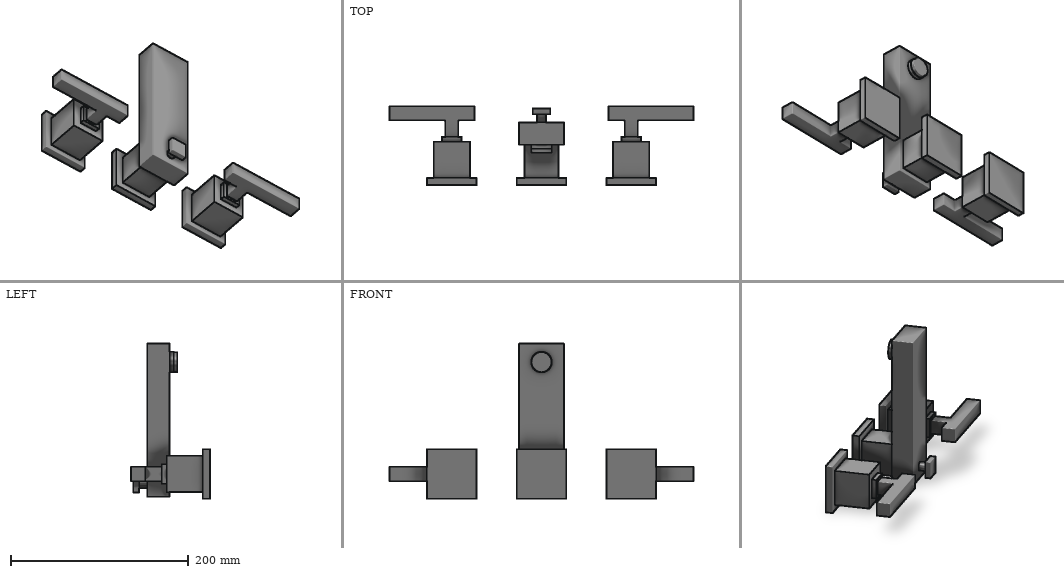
import cadquery as cq


SET_WIDTH = 343.5
SET_DEPTH = 89.3
EDGE_RADIUS = 0.8

PLATE_SIDE = 56.3
PLATE_THICKNESS = 8.2

VALVE_OFFSET = 101.3
VALVE_BLOCK_SIDE = 41.2
VALVE_BLOCK_LENGTH = 41.0
COLLAR_SIDE = 22.3
COLLAR_LENGTH = 5.5

LEVER_HEIGHT = 16.5
BAR_LENGTH = 96.0
BAR_DEPTH = 16.0
STEM_WIDTH = 15.0

COLUMN_WIDTH = 50.8
COLUMN_DEPTH = 25.5
COLUMN_TOP = 147.3
COLUMN_BOTTOM = -25.8
COLUMN_FRONT = 45.7
NECK_SIDE = 38.5

OUTLET_Z = 126.5
OUTLET_DIAMETER = 23.5
OUTLET_TIP_DIAMETER = 22.5
OUTLET_BASE_LENGTH = 4.5
OUTLET_TIP_LENGTH = 4.5
OUTLET_RIM_RADIUS = 0.4

KNOB_Z = -11.0
KNOB_SIDE = 20.0
KNOB_THICKNESS = 7.0
KNOB_ROD_DIAMETER = 10.3
KNOB_ROD_LENGTH = 9.0

valve_block_back = PLATE_THICKNESS + VALVE_BLOCK_LENGTH
collar_back = valve_block_back + COLLAR_LENGTH
bar_front = SET_DEPTH - BAR_DEPTH
column_back = COLUMN_FRONT + COLUMN_DEPTH
knob_front = column_back + KNOB_ROD_LENGTH


def block(width, y_front, y_back, z_bottom, z_top, x_center=0.0):
    """Box centred on x_center, between the given Y and Z limits."""
    return (
        cq.Workplane("XY")
        .box(width, y_back - y_front, z_top - z_bottom, centered=(True, False, False))
        .translate((x_center, y_front, z_bottom))
    )


def square_block(side, y_front, y_back, z_center=0.0):
    """Square bar along Y, centred on x = 0."""
    return block(side, y_front, y_back, z_center - side / 2, z_center + side / 2)


def round_bar(diameter, y_front, y_back, z_center):
    """Round bar along Y, centred on x = 0."""
    return (
        cq.Workplane("XZ", origin=(0, y_front, z_center))
        .circle(diameter / 2)
        .extrude(-(y_back - y_front))
    )


def make_lever(side):
    """T-shaped lever, its bar reaching out to the given side (-1 left, +1 right)."""
    bar_outer_end = SET_WIDTH / 2 - VALVE_OFFSET
    bar_center = side * (bar_outer_end - BAR_LENGTH / 2)
    low, high = -LEVER_HEIGHT / 2, LEVER_HEIGHT / 2
    bar = block(BAR_LENGTH, bar_front, SET_DEPTH, low, high, bar_center)
    stem = block(STEM_WIDTH, collar_back, SET_DEPTH, low, high)
    return bar.union(stem).clean().edges().fillet(EDGE_RADIUS)


def make_valve(side):
    """Valve with base plate, block, collar and lever, on the given side."""
    plate = square_block(PLATE_SIDE, 0, PLATE_THICKNESS)
    plate = plate.edges("|Y or >Y").fillet(EDGE_RADIUS)
    valve = (
        plate
        .union(square_block(VALVE_BLOCK_SIDE, PLATE_THICKNESS, valve_block_back))
        .union(square_block(COLLAR_SIDE, valve_block_back, collar_back))
        .union(make_lever(side))
    )
    return valve.translate((side * VALVE_OFFSET, 0, 0))


def make_outlet():
    """Round outlet stepping down to a slightly narrower tip with a rounded rim."""
    step_y = COLUMN_FRONT - OUTLET_BASE_LENGTH
    tip_front = step_y - OUTLET_TIP_LENGTH
    base = round_bar(OUTLET_DIAMETER, step_y, COLUMN_FRONT, OUTLET_Z)
    tip = round_bar(OUTLET_TIP_DIAMETER, tip_front, step_y, OUTLET_Z)
    return base.union(tip.faces("<Y").edges().fillet(OUTLET_RIM_RADIUS))


def make_knob():
    """Square knob on a round rod behind the column."""
    rod = round_bar(KNOB_ROD_DIAMETER, column_back, knob_front, KNOB_Z)
    head = square_block(KNOB_SIDE, knob_front, knob_front + KNOB_THICKNESS, KNOB_Z)
    return rod.union(head.edges().fillet(EDGE_RADIUS))


def make_spout():
    """Spout with base plate, neck, column, outlet and knob."""
    column = block(COLUMN_WIDTH, COLUMN_FRONT, column_back, COLUMN_BOTTOM, COLUMN_TOP)
    return (
        column.edges().fillet(EDGE_RADIUS)
        .union(square_block(PLATE_SIDE, 0, PLATE_THICKNESS))
        .union(square_block(NECK_SIDE, PLATE_THICKNESS, COLUMN_FRONT))
        .union(make_outlet())
        .union(make_knob())
    )


valves = [make_valve(side) for side in (-1, 1)]
spout = make_spout()

result = cq.Compound.makeCompound([spout.val(), *[valve.val() for valve in valves]])